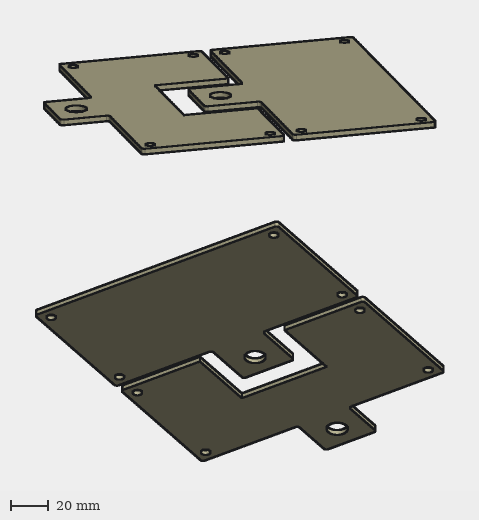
import cadquery as cq

plate_width = 152.58
overall_length = 188.52
thickness = 3.17

plate_depth = 78.6
tab_width = 32.0
corner_radius = 1.6

upper_tab_length = 30.5
lower_tab_length = 26.6
tab_hole_diameter = 11.2
tab_hole_to_end = 13.3

notch_width = 53.2
notch_depth = 40.6

mount_hole_diameter = 5.0
mount_hole_spacing_x = 140.0
mount_hole_spacing_y = 66.0

upper_back = overall_length
lower_back = lower_tab_length + plate_depth


def tabbed_plate(back, tab_length):
    """Rectangular plate with a centred tab toward -Y, rounded corners and through holes."""
    half_width = plate_width / 2
    half_tab = tab_width / 2
    front = back - plate_depth
    tab_end = front - tab_length
    plate = (
        cq.Workplane("XY")
        .polyline([
            (-half_width, back),
            (half_width, back),
            (half_width, front),
            (half_tab, front),
            (half_tab, tab_end),
            (-half_tab, tab_end),
            (-half_tab, front),
            (-half_width, front),
        ])
        .close()
        .extrude(thickness)
        .edges("|Z")
        .fillet(corner_radius)
    )
    mount_holes = (
        cq.Workplane("XY")
        .center(0, back - plate_depth / 2)
        .rect(mount_hole_spacing_x, mount_hole_spacing_y, forConstruction=True)
        .vertices()
        .circle(mount_hole_diameter / 2)
        .extrude(thickness)
    )
    tab_hole = (
        cq.Workplane("XY")
        .center(0, tab_end + tab_hole_to_end)
        .circle(tab_hole_diameter / 2)
        .extrude(thickness)
    )
    return plate.cut(mount_holes).cut(tab_hole)


def upper_plate():
    """Full plate at the +Y end."""
    return tabbed_plate(upper_back, upper_tab_length)


def lower_plate():
    """Plate at the -Y end, with a sharp-cornered notch in its back edge."""
    notch = (
        cq.Workplane("XY")
        .center(0, lower_back - notch_depth / 2)
        .rect(notch_width, notch_depth)
        .extrude(thickness)
    )
    return tabbed_plate(lower_back, lower_tab_length).cut(notch)


result = cq.Compound.makeCompound([upper_plate().val(), lower_plate().val()])